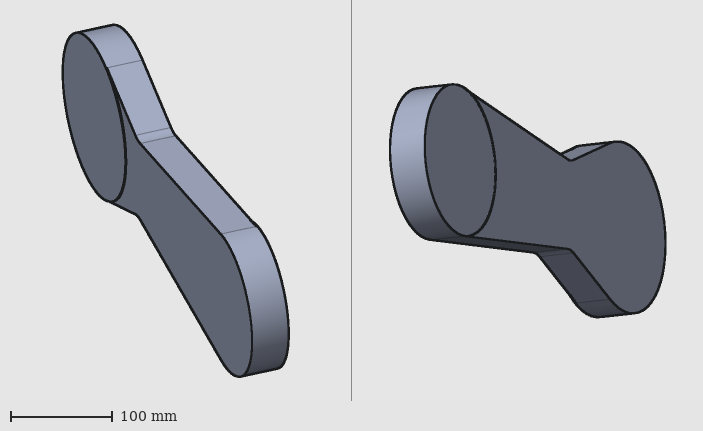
import cadquery as cq
import math

overall_length = 510.0
large_diameter = 170.0
small_diameter = 150.0
overall_thickness = 40.0
pad_height = 1.0
waist_distance = 119.0
waist_half_height = 45.0
waist_radius = 25.0

large_radius = large_diameter / 2
small_radius = small_diameter / 2
small_center_x = overall_length - large_radius - small_radius
waist_center_z = waist_half_height + waist_radius
plate_thickness = overall_thickness - 2 * pad_height


def end_normal_angle(end_radius, distance):
    """Angle above the axis, at an end's centre, of the normal to its taper."""
    center_gap = math.hypot(distance, waist_center_z)
    center_angle = math.atan2(waist_center_z, distance)
    return center_angle + math.acos((end_radius + waist_radius) / center_gap)


def arc_point(center_x, center_z, radius, angle):
    return (center_x + radius * math.cos(angle), center_z + radius * math.sin(angle))


def mirrored(point):
    return (point[0], -point[1])


large_angle = end_normal_angle(large_radius, waist_distance)
small_angle = math.pi - end_normal_angle(small_radius, small_center_x - waist_distance)
large_tangent = arc_point(0, 0, large_radius, large_angle)
small_tangent = arc_point(small_center_x, 0, small_radius, small_angle)
waist_start = arc_point(waist_distance, waist_center_z, waist_radius, large_angle + math.pi)
waist_end = arc_point(waist_distance, waist_center_z, waist_radius, small_angle + math.pi)
waist_middle = (waist_distance, waist_half_height)

plate = (
    cq.Workplane("XZ")
    .moveTo(*large_tangent)
    .lineTo(*waist_start)
    .threePointArc(waist_middle, waist_end)
    .lineTo(*small_tangent)
    .threePointArc((small_center_x + small_radius, 0), mirrored(small_tangent))
    .lineTo(*mirrored(waist_end))
    .threePointArc(mirrored(waist_middle), mirrored(waist_start))
    .lineTo(*mirrored(large_tangent))
    .threePointArc((-large_radius, 0), large_tangent)
    .close()
    .extrude(plate_thickness / 2, both=True)
)


def round_pad(center_x, radius, side):
    """Thin disc raised on the -Y face (side = -1) or the +Y face (side = 1)."""
    return (
        cq.Workplane("XZ", origin=(0, side * plate_thickness / 2, 0))
        .center(center_x, 0)
        .circle(radius)
        .extrude(-side * pad_height)
    )


large_pad = round_pad(0, large_radius, -1)
small_pad = round_pad(small_center_x, small_radius, 1)

result = plate.union(large_pad).union(small_pad)